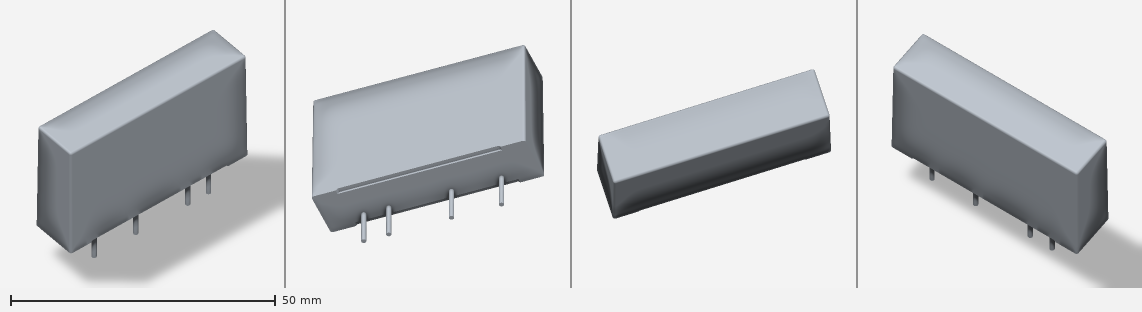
import cadquery as cq

base_width = 10.5
base_length = 43.4
overall_height = 32.65
pin_length = 7.07
housing_height = overall_height - pin_length
side_lean = 0.3
end_lean = 0.2
edge_radius = 0.48

notch_length = 33.4
notch_height = 0.4
notch_depth = 1.0

pin_diameter = 1.0
pin_x = 2.7
first_pin_y = -13.9
pin_offsets = [0.0, 10.15, 22.87, 27.95]


def make_housing():
    """Box that narrows toward the top, rounded on all but its bottom edges."""
    return (
        cq.Workplane("XY")
        .rect(base_width, base_length)
        .workplane(offset=housing_height)
        .rect(base_width - 2 * side_lean, base_length - 2 * end_lean)
        .loft(ruled=True)
        .edges("not <Z")
        .fillet(edge_radius)
    )


def make_notch(side):
    """Trapezoidal cutter for the long wall on the given side (-1 or +1)."""
    bottom_half = notch_length / 2
    top_half = bottom_half - notch_height
    outline = [
        (-bottom_half, 0),
        (bottom_half, 0),
        (top_half, notch_height),
        (-top_half, notch_height),
    ]
    return (
        cq.Workplane("YZ", origin=(side * base_width / 2, 0, 0))
        .polyline(outline)
        .close()
        .extrude(-side * notch_depth)
    )


def make_pins():
    """Row of round pins hanging from the bottom face."""
    centers = [(pin_x, first_pin_y + offset) for offset in pin_offsets]
    return (
        cq.Workplane("XY")
        .pushPoints(centers)
        .circle(pin_diameter / 2)
        .extrude(-pin_length)
    )


result = make_housing()
for side in (-1, 1):
    result = result.cut(make_notch(side))
result = result.union(make_pins())